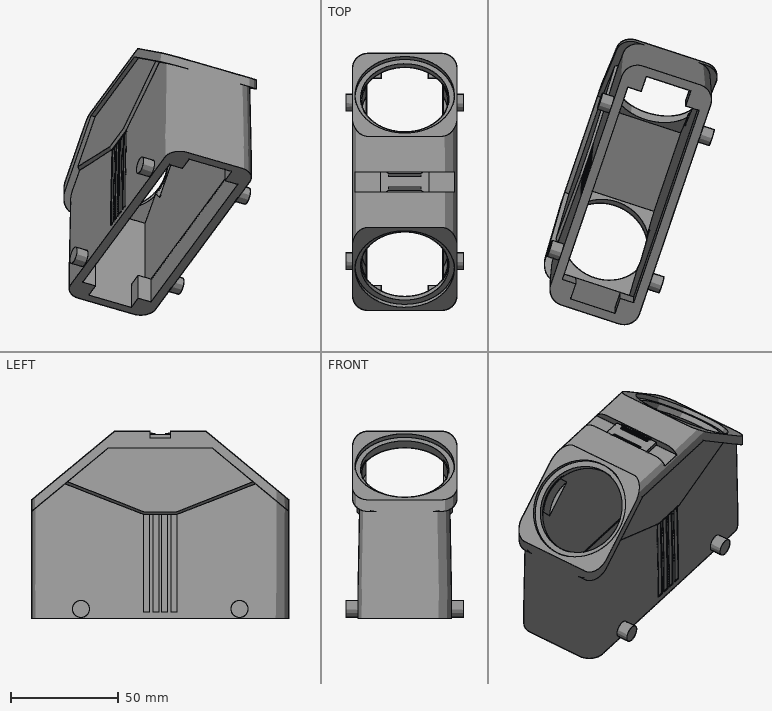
import cadquery as cq
import math

length = 120.0
height = 87.5
half_length = length / 2

head_width = 48.8
head_corner_radius = 7.2
roof_edge_radius = 7.3
roof_half_length = 21.2
slope_foot_height = 55.5
flange_drop = 5.4
lid_underside = 79.7

base_width = 43.7
base_height = 13.7
body_corner_radius = 7.7
draft_angle = 1.1

panel_half_width = 22.3
panel_flat_half_length = 7.8
panel_flat_height = 49.8
panel_side_angle = 19.8
panel_chamfer = 1.3

groove_depth = 0.5
groove_bottom = 3.2
groove_width = 2.9
groove_centers = (-6.5, -2.0, 2.0, 6.5)

pin_diameter = 7.9
pin_height = 4.5
pin_offset = 37.0
pin_tip = 27.5

recess_diameter = 46.3
recess_depth = 2.2
bore_diameter = 41.2
bore_depth = 4.8
pocket_diameter = 40.1
pocket_depth = 12.2

cavity_half_width = 18.0
cavity_roof = 80.4
cavity_half_length = 55.8
cavity_slope_top = 19.7
cavity_slope_foot = 52.7
seat_half_width = 17.5
seat_height = base_height
lug_inner_x = 10.9
lug_inner_y = 48.2

saddle_width = 9.4
saddle_depth = 3.2
block_length = 22.8
block_drop = 1.5
clip_length = 15.2
clip_wall_length = 17.3
clip_width = 0.7
rib_width = 0.8
rib_height = 0.4
rib_offset = 2.9

slope_angle = math.atan2(height - slope_foot_height, half_length - roof_half_length)


def prism_along_x(points, half_width):
    """Prism of a YZ outline, centred on X = 0."""
    return cq.Workplane("YZ").polyline(points).close().extrude(half_width, both=True)


def mirrored(points):
    """Outline points on the positive side followed by their mirror images across the Z axis."""
    return points + [(-across, z) for across, z in reversed(points)]


def rounded_block(width, block_height, radius):
    """Upright block of full length with rounded vertical edges, standing on Z = 0."""
    return cq.Workplane("XY").rect(width, length).extrude(block_height).edges("|Z").fillet(radius)


def slope_height(y):
    """Height of the outer slope at distance y from the middle."""
    return height - (y - roof_half_length) * math.tan(slope_angle)


def make_envelope():
    outline = [(half_length, 0), (half_length, slope_foot_height), (roof_half_length, height)]
    return prism_along_x(mirrored(outline), head_width)


def make_head():
    roof_section = cq.Workplane("XY").box(head_width, 2 * length, height, centered=(True, True, False))
    roof_section = roof_section.edges(">Z and |Y").fillet(roof_edge_radius)
    lid_half_length = roof_half_length + (height - flange_drop - lid_underside) / math.tan(slope_angle)
    outline = [
        (lid_half_length, lid_underside),
        (half_length, slope_foot_height - flange_drop),
        (half_length, slope_foot_height),
        (roof_half_length, height),
    ]
    shell = prism_along_x(mirrored(outline), head_width)
    return rounded_block(head_width, height, head_corner_radius).intersect(roof_section).intersect(shell)


def make_drafted_wall(inset):
    """Solid wall block below the lid, upright at the base and drafted above, inset on the long sides."""
    half_base = base_width / 2 - inset
    half_top = half_base - (lid_underside - base_height) * math.tan(math.radians(draft_angle))
    section = mirrored([(half_base, 0), (half_base, base_height), (half_top, lid_underside)])
    return cq.Workplane("XZ").polyline(section).close().extrude(half_length, both=True)


def make_body():
    rounded = make_drafted_wall(0).edges("not(|X or |Y)").fillet(body_corner_radius)
    return rounded.intersect(make_envelope())


def make_panel():
    """Chamfered panel through both sides; its upper edges end inside the lid and the flanges."""
    lid_middle = (lid_underside + height) / 2
    drop = flange_drop / 2
    upper_y = roof_half_length + (height - drop - lid_middle) / math.tan(slope_angle)
    side_slope = math.tan(math.radians(panel_side_angle))
    meet_y = (
        height - drop - panel_flat_height
        + roof_half_length * math.tan(slope_angle) + panel_flat_half_length * side_slope
    ) / (math.tan(slope_angle) + side_slope)
    outline = [
        (panel_flat_half_length, panel_flat_height - panel_chamfer),
        (meet_y, slope_height(meet_y) - drop),
        (upper_y, lid_middle),
    ]
    return prism_along_x(mirrored(outline), panel_half_width).faces("|X").chamfer(panel_chamfer)


def make_pins():
    pins = cq.Workplane("YZ").pushPoints([(-pin_offset, pin_height), (pin_offset, pin_height)])
    return pins.circle(pin_diameter / 2).extrude(pin_tip, both=True)


def make_grooves():
    """Grooves of constant depth, following the draft of the walls."""
    groove_height = panel_flat_height - panel_chamfer - groove_bottom
    plane = cq.Workplane("XY").workplane(offset=groove_bottom)
    bars = plane.pushPoints([(0, y) for y in groove_centers])
    return bars.rect(head_width, groove_width).extrude(groove_height).cut(make_drafted_wall(groove_depth))


def make_cavity():
    """Hollow open at the bottom, less a seat lip along each side and a lug in each corner."""
    outline = [
        (cavity_half_length, 0),
        (cavity_half_length, cavity_slope_foot),
        (cavity_slope_top, cavity_roof),
    ]
    cavity = prism_along_x(mirrored(outline), cavity_half_width)
    for side in (-1, 1):
        lip_x = side * (seat_half_width + head_width) / 2
        lip = cq.Workplane("XY").center(lip_x, 0).rect(head_width - seat_half_width, length)
        cavity = cavity.cut(lip.extrude(seat_height))
        for end in (-1, 1):
            lug_size = (cavity_half_width - lug_inner_x, cavity_half_length - lug_inner_y)
            lug_x = side * (cavity_half_width + lug_inner_x) / 2
            lug_y = end * (cavity_half_length + lug_inner_y) / 2
            lug = cq.Workplane("XY").center(lug_x, lug_y).rect(*lug_size).extrude(seat_height)
            cavity = cavity.cut(lug)
    return cavity


def make_opening(end):
    """Stepped cable opening on one slope (end is +1 or -1 along Y), blind in the side walls."""
    center = (0, end * (roof_half_length + half_length) / 2, (height + slope_foot_height) / 2)
    normal = (0, end * math.sin(slope_angle), math.cos(slope_angle))
    plane = cq.Workplane(cq.Plane(origin=center, xDir=(1, 0, 0), normal=normal))
    recess = plane.circle(recess_diameter / 2).extrude(-recess_depth)
    bore = plane.circle(bore_diameter / 2).extrude(-bore_depth)
    inner_bore = plane.circle(bore_diameter / 2).extrude(-pocket_depth)
    inner_bore = inner_bore.intersect(cq.Workplane("XY").box(2 * cavity_half_width, 2 * length, 2 * height))
    pocket = plane.circle(pocket_diameter / 2).extrude(-pocket_depth)
    return recess.union(bore).union(inner_bore).union(pocket)


def make_saddle():
    """Slot across the roof, less the raised block with its ribs and edge wedges."""
    roof = cq.Workplane("XY").workplane(offset=height)
    floor = roof.workplane(offset=-saddle_depth)
    block_top = roof.workplane(offset=-block_drop)
    slot = roof.rect(head_width, saddle_width).extrude(-saddle_depth)
    slot = slot.cut(floor.rect(block_length, saddle_width).extrude(saddle_depth - block_drop))
    for side in (-1, 1):
        rib = block_top.center(0, side * rib_offset).rect(clip_length, rib_width).extrude(rib_height)
        wall_y = side * saddle_width / 2
        wedge = block_top.polyline([
            (-clip_wall_length / 2, wall_y),
            (clip_wall_length / 2, wall_y),
            (clip_length / 2, wall_y - side * clip_width),
            (-clip_length / 2, wall_y - side * clip_width),
        ]).close().extrude(2 * rib_height)
        slot = slot.cut(rib).cut(wedge)
    return slot


result = make_body().union(make_panel()).cut(make_grooves())
result = result.union(make_head()).union(make_pins()).cut(make_cavity())
for end in (-1, 1):
    result = result.cut(make_opening(end))
result = result.cut(make_saddle())